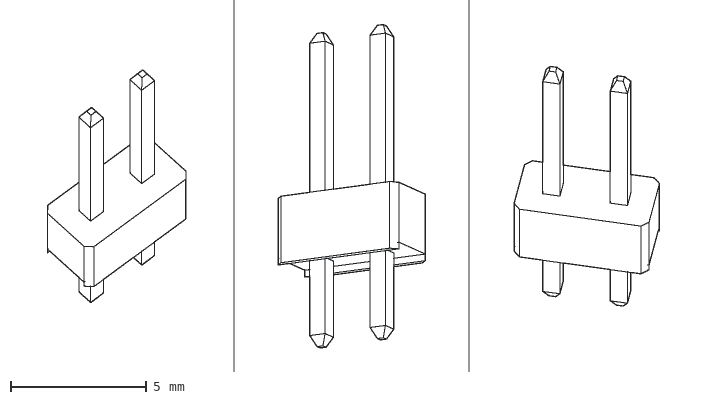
import cadquery as cq

pitch = 2.54
pin_count = 2

body_width = pitch
body_length = pin_count * pitch
body_height = pitch
corner_chamfer = pitch / 10
channel_depth = pitch / 10
channel_width = body_width - 2 * corner_chamfer

pin_side = 0.65
pin_above_body = 6.35
pin_below_body = 3.05
tip_length = 0.4
tip_side = 0.25


def make_body():
    """Block with chamfered vertical corners and a channel along its underside."""
    block = (
        cq.Workplane("XY")
        .box(body_width, body_length, body_height, centered=(True, True, False))
        .edges("|Z")
        .chamfer(corner_chamfer)
    )
    channel = cq.Workplane("XY").box(
        channel_width, body_length, channel_depth, centered=(True, True, False)
    )
    return block.cut(channel)


def make_tip(base_z, end_z):
    """Square taper from the full pin section at base_z to the small end at end_z."""
    return (
        cq.Workplane("XY", origin=(0, 0, base_z))
        .rect(pin_side, pin_side)
        .workplane(offset=end_z - base_z)
        .rect(tip_side, tip_side)
        .loft(ruled=True)
    )


def make_pin():
    """Square pin through the body, tapered at both ends."""
    top_z = body_height + pin_above_body
    bottom_z = -pin_below_body
    shank_top_z = top_z - tip_length
    shank_bottom_z = bottom_z + tip_length
    shank = (
        cq.Workplane("XY", origin=(0, 0, shank_bottom_z))
        .rect(pin_side, pin_side)
        .extrude(shank_top_z - shank_bottom_z)
    )
    return shank.union(make_tip(shank_top_z, top_z)).union(make_tip(shank_bottom_z, bottom_z))


result = make_body()
for index in range(pin_count):
    pin_y = (index - (pin_count - 1) / 2) * pitch
    result = result.union(make_pin().translate((0, pin_y, 0)))